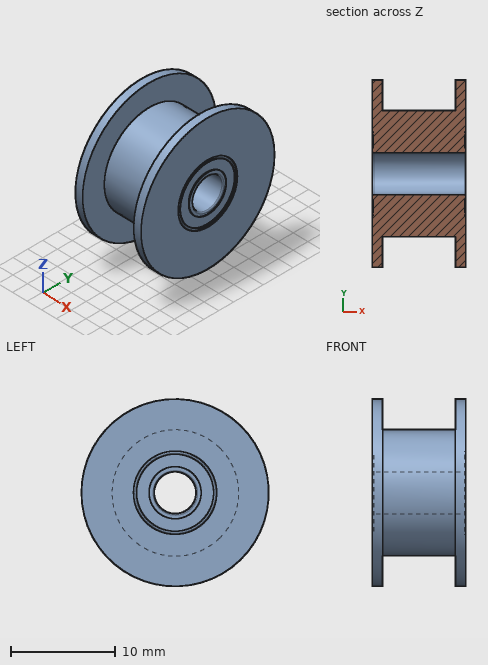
import cadquery as cq

flange_diameter = 18.0
pulley_width = 9.0
flange_thickness = 1.0
hub_diameter = 12.15

bearing_diameter = 8.0
bore_diameter = 4.0
ring_edge_radius = 0.15
shield_inner_diameter = 5.0
shield_outer_diameter = 7.4
shield_recess = 0.1


def disc(diameter, length, start):
    """Solid disc along +X, beginning at x = start."""
    return cq.Workplane("YZ", origin=(start, 0, 0)).circle(diameter / 2).extrude(length)


def make_pulley():
    """Hub with a flange at each end and a seat bored through for the bearing."""
    half_width = pulley_width / 2
    body = disc(hub_diameter, pulley_width, -half_width)
    for start in (-half_width, half_width - flange_thickness):
        body = body.union(disc(flange_diameter, flange_thickness, start))
    return body.cut(disc(bearing_diameter, pulley_width, -half_width))


def make_bearing():
    """Bearing with rounded ring edges and a shallow recessed shield on each face."""
    half_width = pulley_width / 2
    bearing = disc(bearing_diameter, pulley_width, -half_width)
    bearing = bearing.cut(disc(bore_diameter, pulley_width, -half_width))
    bearing = bearing.faces("<X or >X").edges().fillet(ring_edge_radius)
    for start in (-half_width, half_width - shield_recess):
        recess = disc(shield_outer_diameter, shield_recess, start)
        recess = recess.cut(disc(shield_inner_diameter, shield_recess, start))
        bearing = bearing.cut(recess)
    return bearing


result = make_pulley().union(make_bearing())